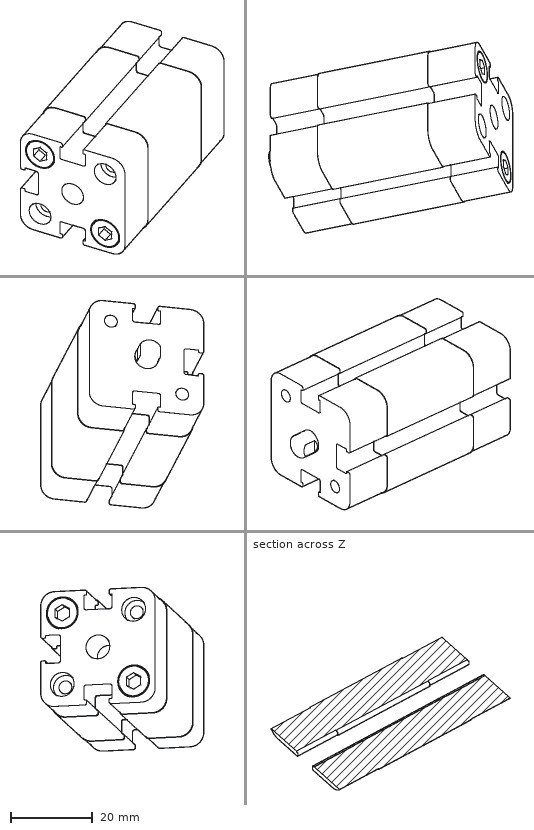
import cadquery as cq
import math

total_length = 57.5
cap_length = 12.25
tube_length = 28.5
body_length = cap_length + tube_length + cap_length
rod_length = total_length - body_length

tube_width = 29.05
cap_inset = 0.1
corner_radius = 3.5

slot_floor_height = 9.55
slot_floor_radius = 0.5
slot_half_width = 3.4
lip_half_opening = 2.7
lip_underside_height = 13.2
lip_outer_radius = 0.5
lip_inner_radius = 0.25
lip_root_radius = 0.2
slot_angles = (0, 90, 180)

hole_offset = 8.95
through_diameter = 3.2
counterbore_diameter = 6.0
counterbore_depth = 3.5
center_hole_diameter = 6.0
center_hole_depth = cap_length
screw_recess_diameter = 8.0
screw_head_diameter = 7.5
screw_gap_depth = 1.15
hex_corner_diameter = 4.15
hex_corner_count = 6
hex_depth = 2.9
screw_centers = [(-hole_offset, hole_offset), (hole_offset, -hole_offset)]
through_centers = [(hole_offset, hole_offset), (-hole_offset, -hole_offset)]

rod_diameter = 6.0
rod_end_radius = 0.85
flat_spacing = 5.0
flat_length = 3.55


def plane_at(y):
    """Plane across the body axis: local x is X, local y is Z, negative extrusion goes toward +Y."""
    return cq.Workplane("XZ", origin=(0, y, 0))


def slot_cutter(inset, start, length):
    """T-slot with a rounded floor and rounded lips, open toward +Z and widened by the inset."""
    outer = tube_width / 2 - inset
    wall = slot_half_width + inset
    lip = lip_half_opening + inset
    floor = slot_floor_height - inset
    underside = lip_underside_height - inset
    profile = (
        plane_at(start)
        .moveTo(0, floor)
        .lineTo(wall - slot_floor_radius, floor)
        .tangentArcPoint((wall, floor + slot_floor_radius), relative=False)
        .lineTo(wall, underside - lip_root_radius)
        .tangentArcPoint((wall - lip_root_radius, underside), relative=False)
        .lineTo(lip + lip_inner_radius, underside)
        .tangentArcPoint((lip, underside + lip_inner_radius), relative=False)
        .lineTo(lip, outer - lip_outer_radius)
        .tangentArcPoint((lip + lip_outer_radius, outer), relative=False)
        .lineTo(0, outer)
        .mirrorY()
    )
    return profile.extrude(-length)


def section(inset, start, length):
    """One length of the slotted square body, its outline moved inward by the inset."""
    width = tube_width - 2 * inset
    block = plane_at(start).rect(width, width).extrude(-length).edges("|Y").fillet(corner_radius)
    cutter = slot_cutter(inset, start, length)
    for angle in slot_angles:
        block = block.cut(cutter.rotate((0, 0, 0), (0, 1, 0), -angle))
    return block


def bore(centers, diameter, depth):
    """Round holes sunk into the front face."""
    return plane_at(0).pushPoints(centers).circle(diameter / 2).extrude(-depth)


def piston_rod():
    """Rod with a rounded end and two flats that run out at 45 degrees."""
    rod = plane_at(body_length).circle(rod_diameter / 2).extrude(-rod_length)
    rod = rod.faces(">Y").edges().fillet(rod_end_radius)
    flat = flat_spacing / 2
    flat_start = total_length - flat_length
    overcut = rod_diameter
    flat_cut = (
        cq.Workplane("XY", origin=(0, 0, -rod_diameter))
        .moveTo(flat, flat_start)
        .lineTo(flat + overcut, flat_start - overcut)
        .lineTo(flat + overcut, total_length)
        .lineTo(flat, total_length)
        .close()
        .extrude(2 * rod_diameter)
    )
    return rod.cut(flat_cut).cut(flat_cut.mirror("YZ"))


body = section(cap_inset, 0, cap_length)
body = body.union(section(0, cap_length, tube_length))
body = body.union(section(cap_inset, cap_length + tube_length, cap_length))
body = body.union(piston_rod())

body = body.cut(bore(through_centers, through_diameter, body_length))
body = body.cut(bore(through_centers, counterbore_diameter, counterbore_depth))
body = body.cut(bore([(0, 0)], center_hole_diameter, center_hole_depth))

ring_gap = bore(screw_centers, screw_recess_diameter, screw_gap_depth).cut(
    bore(screw_centers, screw_head_diameter, screw_gap_depth)
)
body = body.cut(ring_gap)

corner_angle = 360 / hex_corner_count
hex_points = [
    (
        hex_corner_diameter / 2 * math.sin(math.radians(corner_angle * corner)),
        hex_corner_diameter / 2 * math.cos(math.radians(corner_angle * corner)),
    )
    for corner in range(hex_corner_count)
]
for center_x, center_z in screw_centers:
    socket = plane_at(0).polyline(hex_points).close().extrude(-hex_depth)
    body = body.cut(socket.translate((center_x, 0, center_z)))

result = body